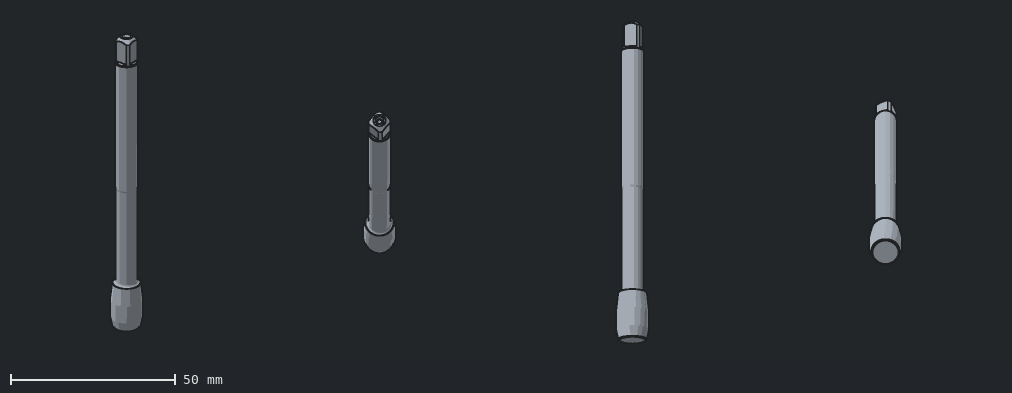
import cadquery as cq
import math

total_length = 100

shank_radius = 7 / 2
neck_radius = 6.7 / 2
step_top = 48.1
step_height = 0.6
collar_joint = 15
flare_radius = 0.9

square_width = 5.5
square_length = 8
square_corner_radius = 6.7 / 2
square_bottom = total_length - square_length
shoulder_bottom = 91.1
shoulder_height = 0.3
tip_radius = 3.8 / 2
tip_chamfer_drop = 1.3

centre_hole_radius = 1.6 / 2
centre_hole_depth = 1.5
centre_hole_tip_angle = 120
countersink_radius = 2.6 / 2
countersink_depth = 0.9

collar_radius = 10.1 / 2
collar_shoulder_radius = 8.8 / 2
collar_band_top = 9.2
collar_band_bottom = 3.4
collar_bottom_radius = 8.7 / 2
collar_edge_width = 0.4
collar_edge_height = 0.3


def revolve_about_z(profile):
    return profile.close().revolve(360, (0, 0), (0, 1))


def make_round_shank():
    """Stepped round bar with a flared foot and a conical lead-in at its tip."""
    flare_centre_r = neck_radius + flare_radius
    flare_centre_z = collar_joint + flare_radius
    flare_offset = flare_radius * math.sqrt(0.5)
    profile = (
        cq.Workplane("XZ")
        .moveTo(0, collar_joint)
        .lineTo(flare_centre_r, collar_joint)
        .threePointArc(
            (flare_centre_r - flare_offset, flare_centre_z - flare_offset),
            (neck_radius, flare_centre_z),
        )
        .lineTo(neck_radius, step_top - step_height)
        .lineTo(shank_radius, step_top)
        .lineTo(shank_radius, shoulder_bottom)
        .lineTo(square_corner_radius, shoulder_bottom + shoulder_height)
        .lineTo(square_corner_radius, total_length - tip_chamfer_drop)
        .lineTo(tip_radius, total_length)
        .lineTo(0, total_length)
    )
    return revolve_about_z(profile)


def make_flat_cutter():
    """Cutter for one flat of the square, with a floor sloping down at 45 degrees."""
    flat_x = square_width / 2
    outer_x = 2 * shank_radius
    return (
        cq.Workplane("XZ")
        .moveTo(flat_x, square_bottom)
        .lineTo(outer_x, square_bottom - (outer_x - flat_x))
        .lineTo(outer_x, total_length)
        .lineTo(flat_x, total_length)
        .close()
        .extrude(shank_radius, both=True)
    )


def make_centre_hole():
    """Cutter for the countersunk centre hole with its conical bottom."""
    hole_bottom = total_length - centre_hole_depth
    cone_depth = centre_hole_radius / math.tan(math.radians(centre_hole_tip_angle / 2))
    profile = (
        cq.Workplane("XZ")
        .moveTo(0, total_length)
        .lineTo(countersink_radius, total_length)
        .lineTo(centre_hole_radius, total_length - countersink_depth)
        .lineTo(centre_hole_radius, hole_bottom)
        .lineTo(0, hole_bottom - cone_depth)
    )
    return revolve_about_z(profile)


def make_shank():
    body = make_round_shank()
    for angle in (0, 90, 180, 270):
        body = body.cut(make_flat_cutter().rotate((0, 0, 0), (0, 0, 1), angle))
    return body.cut(make_centre_hole())


def make_collar():
    """Round collar with a cylindrical band between two tapers."""
    profile = (
        cq.Workplane("XZ")
        .moveTo(0, 0)
        .lineTo(collar_bottom_radius - collar_edge_width, 0)
        .lineTo(collar_bottom_radius, collar_edge_height)
        .lineTo(collar_radius, collar_band_bottom)
        .lineTo(collar_radius, collar_band_top)
        .lineTo(collar_shoulder_radius, collar_joint)
        .lineTo(0, collar_joint)
    )
    return revolve_about_z(profile)


shank = make_shank()
collar = make_collar()
result = cq.Compound.makeCompound([shank.val(), collar.val()])